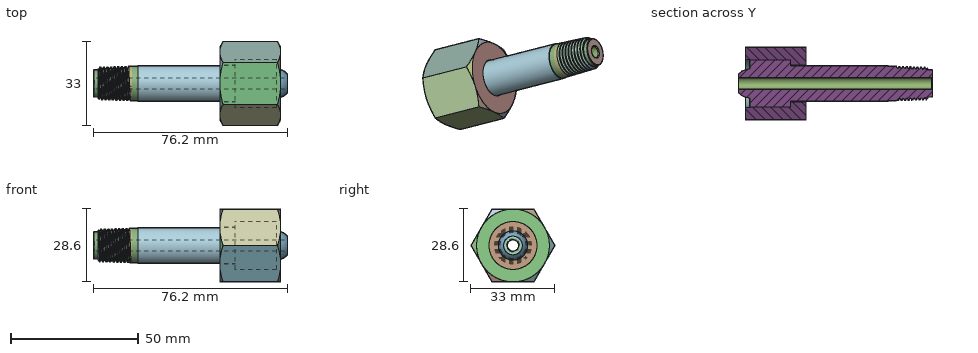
import cadquery as cq
import math

total_length = 76.2
nut_start = 49.6
nut_length = 23.9
nut_end = nut_start + nut_length
nut_clearance = 0.2

nut_wall = 6.0
collar_start = nut_start + nut_wall
collar_radius = 9.4

across_flats = 28.575
across_corners = across_flats / math.cos(math.pi / 6)
chamfer_angle = math.radians(30)

stem_radius = 7.05
bore_radius = 2.2
bore_chamfer = 0.35
tip_radius = 5.4
tip_chamfer = 0.25
tip_length = 1.75
relief_radius = 6.81
relief_start = 15.2
relief_end = 17.5

nose_radius = 5.75
nose_flat_radius = 3.67

pitch = 25.4 / 18
radial_taper = 1 / 32
thread_start_radius = 5.7
thread_lead_in = 0.7
thread_end = 14.3
thread_depth = 0.55 * pitch
first_crest = 3.05
flank_angle = math.radians(30)
root_flat = 0.15
cutter_overshoot = 0.04


def crest_radius(x):
    """Radius of the thread's outer cone at a distance x from the tip."""
    return relief_radius - (relief_start - x) * radial_taper


def stem_blank():
    """Turned stem with its bore, before the thread is cut."""
    lead_in_end = tip_length + thread_lead_in
    nose_center = total_length - math.sqrt(nose_radius**2 - nose_flat_radius**2)
    mid_angle = (math.pi / 2 + math.asin(nose_flat_radius / nose_radius)) / 2
    nose_mid = (
        nose_center + nose_radius * math.cos(mid_angle),
        nose_radius * math.sin(mid_angle),
    )
    profile = (
        cq.Workplane("XY")
        .moveTo(bore_chamfer, bore_radius)
        .lineTo(0, bore_radius + bore_chamfer)
        .lineTo(0, tip_radius - tip_chamfer)
        .lineTo(tip_chamfer, tip_radius)
        .lineTo(tip_length, tip_radius)
        .lineTo(tip_length, thread_start_radius)
        .lineTo(lead_in_end, crest_radius(lead_in_end))
        .lineTo(relief_start, relief_radius)
        .lineTo(relief_end, relief_radius)
        .lineTo(relief_end, stem_radius)
        .lineTo(collar_start, stem_radius)
        .lineTo(collar_start, collar_radius)
        .lineTo(nose_center, collar_radius)
        .lineTo(nose_center, nose_radius)
        .threePointArc(nose_mid, (total_length, nose_flat_radius))
        .lineTo(total_length, bore_radius)
        .close()
    )
    return profile.revolve(360, (0, 0, 0), (1, 0, 0))


def thread_cutter():
    """V-shaped right-handed groove that follows the thread's taper."""
    first_groove = first_crest - 1.5 * pitch
    root_radius = crest_radius(first_groove) - thread_depth
    cut_length = thread_end - first_groove
    helix = cq.Wire.makeHelix(
        pitch, cut_length, root_radius, angle=math.degrees(math.atan(radial_taper))
    )
    outer_height = thread_depth + cutter_overshoot
    root_half = root_flat / 2
    outer_half = root_half + outer_height * math.tan(flank_angle)
    groove = (
        cq.Workplane("XZ")
        .moveTo(root_radius, -root_half)
        .lineTo(root_radius + outer_height, -outer_half)
        .lineTo(root_radius + outer_height, outer_half)
        .lineTo(root_radius, root_half)
        .close()
        .sweep(cq.Workplane(obj=helix), isFrenet=True)
    )
    return (
        groove.rotate((0, 0, 0), (0, 0, 1), 180)
        .rotate((0, 0, 0), (0, 1, 0), 90)
        .translate((first_groove, 0, 0))
    )


def make_stem():
    """Threaded stem with its collar and rounded nose."""
    return stem_blank().cut(thread_cutter()).solids()


def make_nut():
    """Hexagonal nut with corners on Y, coned at both ends, counterbored for the stem's collar."""
    hexagon = (
        cq.Workplane("YZ", origin=(nut_start, 0, 0))
        .polygon(6, across_corners)
        .extrude(nut_length)
    )
    face_radius = across_flats / 2
    rim_radius = across_corners / 2
    hole_radius = stem_radius + nut_clearance
    cone_length = (rim_radius - face_radius) * math.tan(chamfer_angle)
    envelope = (
        cq.Workplane("XY")
        .moveTo(nut_start, hole_radius)
        .lineTo(nut_start, face_radius)
        .lineTo(nut_start + cone_length, rim_radius)
        .lineTo(nut_end - cone_length, rim_radius)
        .lineTo(nut_end, face_radius)
        .lineTo(nut_end, collar_radius)
        .lineTo(collar_start, collar_radius)
        .lineTo(collar_start, hole_radius)
        .close()
        .revolve(360, (0, 0, 0), (1, 0, 0))
    )
    return hexagon.intersect(envelope).solids()


stem = make_stem()
nut = make_nut()

result = cq.Compound.makeCompound([stem.val(), nut.val()])